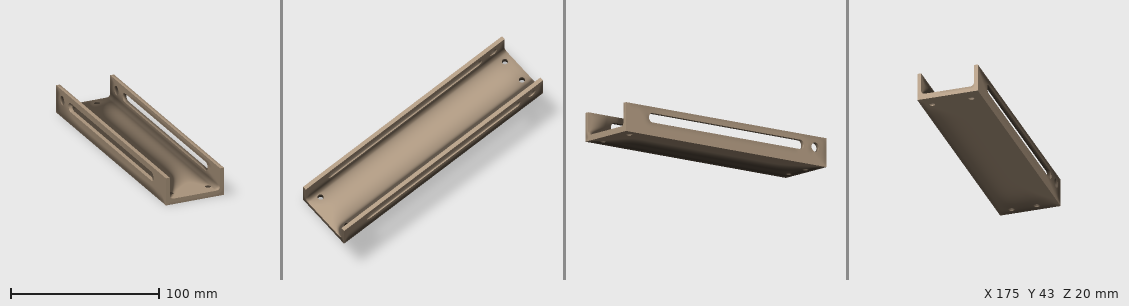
import cadquery as cq

length = 175.0
width = 43.0
height = 20.0
wall = 2.8
floor = 4.0
inner_radius = 2.6

cutout_diameter = 6.5
cutout_height = 12.5
round_hole_x = 9.8
slot_start_x = 19.8
slot_end_x = 155.0

floor_hole_diameter = 4.0
left_pair_x = 5.8
left_pair_y = -2.6
left_pair_spacing = 17.8
right_pair_x = 165.9
right_pair_y = 0.0
right_pair_spacing = 27.8


def make_channel():
    """U-shaped channel, open upward, with rounded inner corners."""
    body = cq.Workplane("XY").box(length, width, height, centered=(False, True, False))
    cavity = (
        cq.Workplane("XY")
        .workplane(offset=floor)
        .box(length, width - 2 * wall, height - floor, centered=(False, True, False))
        .edges("|X and <Z")
        .fillet(inner_radius)
    )
    return body.cut(cavity)


def make_wall_cutters():
    """Round hole and long slot, passing through both side walls."""
    slot_length = slot_end_x - slot_start_x
    slot_x = (slot_start_x + slot_end_x) / 2
    hole = (
        cq.Workplane("XZ", origin=(round_hole_x, 0, cutout_height))
        .circle(cutout_diameter / 2)
        .extrude(width, both=True)
    )
    slot = (
        cq.Workplane("XZ", origin=(slot_x, 0, cutout_height))
        .slot2D(slot_length, cutout_diameter)
        .extrude(width, both=True)
    )
    return hole.union(slot)


def make_floor_cutter(x, middle_y, spacing):
    """Pair of round holes through the floor."""
    return (
        cq.Workplane("XY")
        .pushPoints([(x, middle_y - spacing / 2), (x, middle_y + spacing / 2)])
        .circle(floor_hole_diameter / 2)
        .extrude(height)
    )


result = make_channel().cut(make_wall_cutters())
for pair_x, pair_y, pair_spacing in (
    (left_pair_x, left_pair_y, left_pair_spacing),
    (right_pair_x, right_pair_y, right_pair_spacing),
):
    result = result.cut(make_floor_cutter(pair_x, pair_y, pair_spacing))